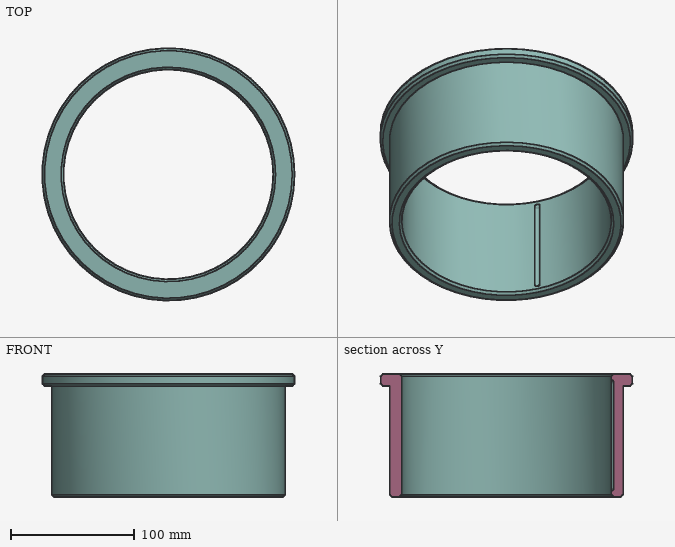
import cadquery as cq

TOTAL_HEIGHT = 100.0
FLANGE_DIAMETER = 205.0
FLANGE_THICKNESS = 10.0
BODY_DIAMETER = 190.0
BORE_DIAMETER = 170.0
EDGE_CHAMFER = 2.0

GROOVE_RADIUS = 2.2
GROOVE_DEPTH = 2.0
GROOVE_END_MARGIN = 5.0


def make_sleeve():
    """Body, flange and bore, with every free circular edge chamfered."""
    flange_bottom = TOTAL_HEIGHT - FLANGE_THICKNESS
    body = (
        cq.Workplane("XY")
        .circle(BODY_DIAMETER / 2)
        .extrude(TOTAL_HEIGHT)
        .faces("<Z")
        .chamfer(EDGE_CHAMFER)
    )
    flange = (
        cq.Workplane("XY")
        .workplane(offset=flange_bottom)
        .circle(FLANGE_DIAMETER / 2)
        .extrude(FLANGE_THICKNESS)
        .faces("<Z or >Z")
        .chamfer(EDGE_CHAMFER)
    )
    bore = cq.Workplane("XY").circle(BORE_DIAMETER / 2).extrude(TOTAL_HEIGHT)
    sleeve = body.union(flange).cut(bore)
    bore_rims = cq.selectors.RadiusNthSelector(0)
    return sleeve.faces("<Z or >Z").edges(bore_rims).chamfer(EDGE_CHAMFER)


def make_groove_cutter():
    """Upright round-ended rod sunk into the bore wall by the groove depth."""
    rod_length = TOTAL_HEIGHT - 2 * GROOVE_END_MARGIN
    straight_length = rod_length - 2 * GROOVE_RADIUS
    half_profile = (
        cq.Workplane("XZ")
        .moveTo(0, -rod_length / 2)
        .radiusArc((GROOVE_RADIUS, -straight_length / 2), -GROOVE_RADIUS)
        .lineTo(GROOVE_RADIUS, straight_length / 2)
        .radiusArc((0, rod_length / 2), -GROOVE_RADIUS)
        .close()
    )
    rod = half_profile.revolve(360, (0, 0), (0, 1))
    axis_x = BORE_DIAMETER / 2 + GROOVE_DEPTH - GROOVE_RADIUS
    return rod.translate((axis_x, 0, TOTAL_HEIGHT / 2))


result = make_sleeve().cut(make_groove_cutter())